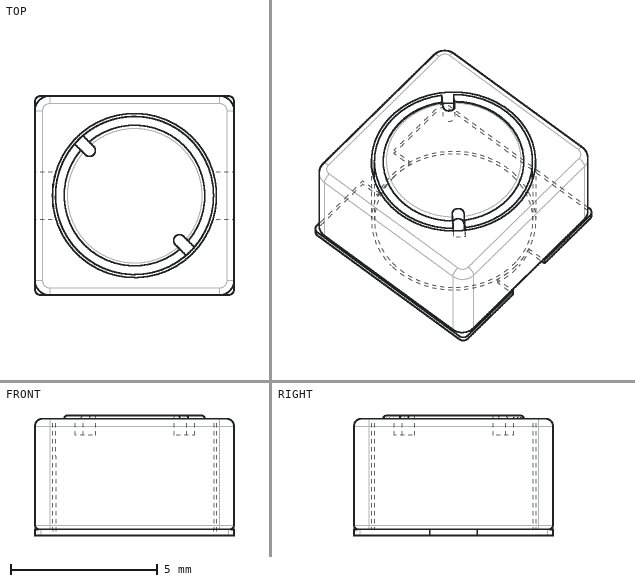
import cadquery as cq

SIDE = 6.8
HEIGHT = 4.1

BASE_THICKNESS = 0.21
BASE_CORNER_RADIUS = 0.2
NOTCH_WIDTH = 1.63

CORE_RISE = 0.11
SHIELD_TOP = HEIGHT - CORE_RISE
SHIELD_CORNER_RADIUS = 0.5
SHIELD_TOP_FILLET = 0.25
SHIELD_BOTTOM_FILLET = 0.15
BORE_RADIUS = 2.8

CORE_GAP = 0.1
FLANGE_RADIUS = BORE_RADIUS - CORE_GAP
BOSS_RADIUS = 2.4
BOSS_FILLET = 0.1

SLOT_WIDTH = 0.4
SLOT_INNER_REACH = 1.97
SLOT_DEPTH = 0.545
SLOT_ANGLES = (135, 315)


def make_base():
    """Rounded square plate notched at -X and +X; the notches end in arcs below the bore wall."""
    base = (
        cq.Workplane("XY")
        .rect(SIDE, SIDE)
        .extrude(BASE_THICKNESS)
        .edges("|Z")
        .fillet(BASE_CORNER_RADIUS)
    )
    channel = cq.Workplane("XY").rect(SIDE, NOTCH_WIDTH).extrude(BASE_THICKNESS)
    center_disc = cq.Workplane("XY").circle(BORE_RADIUS).extrude(BASE_THICKNESS)
    notches = channel.cut(center_disc)
    return base.cut(notches)


def make_shield():
    """Rounded square block with a through bore, standing on the base."""
    block = (
        cq.Workplane("XY")
        .workplane(offset=BASE_THICKNESS)
        .rect(SIDE, SIDE)
        .extrude(SHIELD_TOP - BASE_THICKNESS)
        .edges("|Z")
        .fillet(SHIELD_CORNER_RADIUS)
    )
    block = block.faces(">Z").edges().fillet(SHIELD_TOP_FILLET)
    block = block.faces("<Z").edges().fillet(SHIELD_BOTTOM_FILLET)
    return block.faces(">Z").workplane(origin=(0, 0, SHIELD_TOP)).hole(2 * BORE_RADIUS)


def make_wire_slot(angle):
    """Cutter for a radial slot with a round inner end, open at the rim."""
    end_radius = SLOT_WIDTH / 2
    end_center = SLOT_INNER_REACH + end_radius
    outer_end = FLANGE_RADIUS + CORE_GAP
    return (
        cq.Workplane("XY")
        .workplane(offset=SHIELD_TOP - SLOT_DEPTH)
        .moveTo(outer_end, -end_radius)
        .lineTo(end_center, -end_radius)
        .threePointArc((SLOT_INNER_REACH, 0), (end_center, end_radius))
        .lineTo(outer_end, end_radius)
        .close()
        .extrude(SLOT_DEPTH + CORE_RISE)
        .rotate((0, 0, 0), (0, 0, 1), angle)
    )


def make_core():
    """Round core standing on the base inside the shield bore."""
    core = (
        cq.Workplane("XY")
        .workplane(offset=BASE_THICKNESS)
        .circle(FLANGE_RADIUS)
        .extrude(SHIELD_TOP - BASE_THICKNESS)
        .faces(">Z")
        .workplane()
        .circle(BOSS_RADIUS)
        .extrude(CORE_RISE)
        .faces(">Z")
        .edges()
        .fillet(BOSS_FILLET)
    )
    for angle in SLOT_ANGLES:
        core = core.cut(make_wire_slot(angle))
    return core


base = make_base()
shield = make_shield()
core = make_core()

result = cq.Compound.makeCompound([base.val(), shield.val(), core.val()])